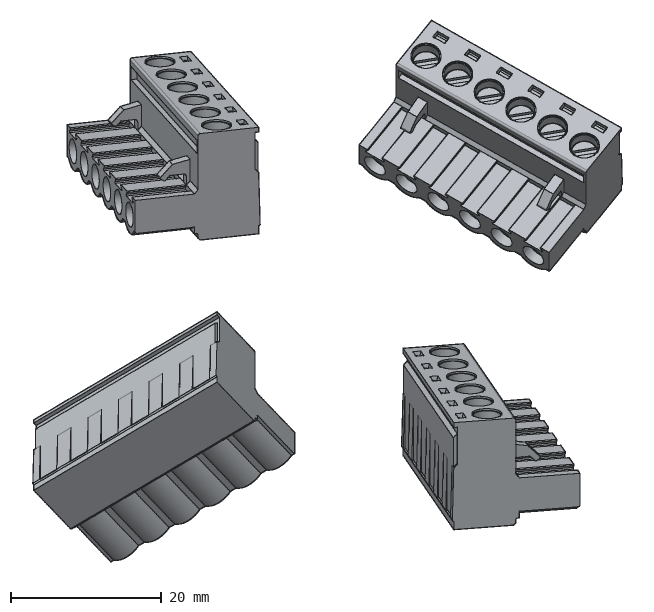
import cadquery as cq
POLES = 6
PITCH = 5.08
LENGTH = POLES * PITCH
DEPTH = 17.4
HEIGHT = 15.1

BACK_BULGE = 0.2
BACK_Y = DEPTH - BACK_BULGE
BULGE_TOP_Z = 8.7
BULGE_BOTTOM_Z = 1.3
HOUSING_FRONT_Y = 8.75
EDGE = 0.3
FOOT_FILLET = 0.25

PLUG_TOP_Z = 6.62
PLUG_ROOT_Y = 8.25
SHOULDER_RISE = 0.58
CONTACT_Z = 3.72
SHELL_RADIUS = 2.74
PLUG_BOTTOM_Z = CONTACT_Z - SHELL_RADIUS
PLUG_WEB_Z = 1.92
PLUG_EDGE = 0.15

HOLE_RADIUS = 1.67
HOLE_END_RADIUS = 0.76
HOLE_DEPTH = 1.5
HOLE_CONE_LENGTH = 0.3

GROOVE_MOUTH = 1.2
GROOVE_NECK = 1.1
GROOVE_MAX = 1.5
GROOVE_FLOOR = 1.42
GROOVE_DEPTH = 0.77
GROOVE_NECK_DEPTH = 0.15
GROOVE_MAX_DEPTH = 0.57

LABEL_INSET = 0.4
LABEL_BOTTOM_Z = 12.15
LABEL_TOP_Z = 14.0
LABEL_DEPTH = 0.8

NOTCH_DEPTH = 0.53
NOTCH_TOP_Z = 14.42
RIB_TOP_Z = 13.4
END_NOTCH_LENGTH = 0.3

BACK_RECESS_WIDTH = 2.87

SCREW_Y = 12.11
RIM_RADIUS = 2.0
RIM_DEPTH = 0.25
BORE_RADIUS = 1.83
SCREW_DEPTH = 1.6
SCREW_CHAMFER = 0.15
SLOT_WIDTH = 0.85
SLOT_DEPTH = 0.5
SLOT_ANGLE = 45

POCKET_WIDTH = 1.85
POCKET_FRONT_Y = 15.14
POCKET_BACK_Y = 16.2
POCKET_RIDGE_Y = 15.86
POCKET_RIDGE_DEPTH = 0.5
POCKET_BACK_DEPTH = 0.6
POCKET_FRONT_DEPTH = 0.68
POCKET_DRAFT = 0.16

LATCH_WIDTH = 1.47
LATCH_END_DISTANCE = 4.3
LATCH_OFFSET = LENGTH / 2 - LATCH_END_DISTANCE
LATCH_ROOT_Z = 10.23
LATCH_KNEE_Y = 6.29
LATCH_KNEE_Z = 9.77
LATCH_TIP_Y = 4.46
LATCH_ARM_Z = 8.24
LATCH_ARM_Y = 5.98
LATCH_DROP = 0.75
LATCH_TIP_FILLET = 0.2
LATCH_INNER_FILLET = 0.45

pole_positions = [(i - (POLES - 1) / 2) * PITCH for i in range(POLES)]


def prism_along_x(points, length, center_x=0.0):
    """Extrude an outline of (y, z) points along X, centred on center_x."""
    start = cq.Workplane("YZ", origin=(center_x - length / 2, 0, 0))
    return start.polyline(points).close().extrude(length)


def make_housing():
    body = prism_along_x(
        [
            (HOUSING_FRONT_Y, 0),
            (BACK_Y, 0),
            (BACK_Y, BULGE_BOTTOM_Z - BACK_BULGE),
            (DEPTH, BULGE_BOTTOM_Z),
            (BACK_Y, BULGE_TOP_Z),
            (BACK_Y, HEIGHT),
            (HOUSING_FRONT_Y, HEIGHT),
            (HOUSING_FRONT_Y, PLUG_TOP_Z + SHOULDER_RISE),
            (PLUG_ROOT_Y, PLUG_TOP_Z),
            (PLUG_ROOT_Y, PLUG_BOTTOM_Z),
            (HOUSING_FRONT_Y, PLUG_BOTTOM_Z),
        ],
        LENGTH,
    )

    def front_edge(z):
        return cq.selectors.NearestToPointSelector((0, HOUSING_FRONT_Y, z))

    body = body.edges(front_edge(HEIGHT)).fillet(EDGE)
    body = body.edges(front_edge(PLUG_BOTTOM_Z)).fillet(FOOT_FILLET)
    return body.edges(front_edge(0)).chamfer(EDGE)


def make_plug():
    """Block with round contact shells hanging below it, chamfered along its lower front edges."""
    block = cq.Workplane("XY").box(
        LENGTH, PLUG_ROOT_Y, PLUG_TOP_Z - PLUG_WEB_Z, centered=(True, False, False)
    )
    plug = block.faces("<Y").edges("<Z").chamfer(PLUG_EDGE).translate((0, 0, PLUG_WEB_Z))
    for x in pole_positions:
        shell = cq.Workplane("XZ", origin=(x, 0, CONTACT_Z)).circle(SHELL_RADIUS).extrude(-PLUG_ROOT_Y)
        shell = shell.faces("<Y").chamfer(PLUG_EDGE)
        plug = plug.union(shell)
    envelope = cq.Workplane("XY").box(LENGTH, DEPTH, HEIGHT, centered=(True, False, False))
    return plug.intersect(envelope)


def make_latch(center_x):
    tip_z = LATCH_KNEE_Z - (LATCH_KNEE_Y - LATCH_TIP_Y)
    tip_end_y = LATCH_ARM_Y - LATCH_DROP
    tip_end_z = LATCH_ARM_Z - LATCH_DROP
    latch = prism_along_x(
        [
            (HOUSING_FRONT_Y, LATCH_ROOT_Z),
            (LATCH_KNEE_Y, LATCH_KNEE_Z),
            (LATCH_TIP_Y, tip_z),
            (tip_end_y, tip_end_z),
            (LATCH_ARM_Y, LATCH_ARM_Z),
            (PLUG_ROOT_Y, LATCH_ARM_Z),
            (PLUG_ROOT_Y, PLUG_TOP_Z),
            (HOUSING_FRONT_Y, PLUG_TOP_Z),
        ],
        LATCH_WIDTH,
        center_x,
    )

    def edge_near(y, z):
        return cq.selectors.NearestToPointSelector((center_x, y, z))

    latch = latch.edges(edge_near(PLUG_ROOT_Y, LATCH_ARM_Z)).fillet(LATCH_INNER_FILLET)
    latch = latch.edges(edge_near(LATCH_TIP_Y, tip_z)).fillet(LATCH_TIP_FILLET)
    return latch.edges(edge_near(tip_end_y, tip_end_z)).fillet(LATCH_TIP_FILLET)


def make_contact_hole(x):
    """Straight bore that narrows over a shallow cone to a flat end."""
    half_section = [
        (0, 0),
        (HOLE_RADIUS, 0),
        (HOLE_RADIUS, HOLE_DEPTH),
        (HOLE_END_RADIUS, HOLE_DEPTH + HOLE_CONE_LENGTH),
        (0, HOLE_DEPTH + HOLE_CONE_LENGTH),
    ]
    bore = cq.Workplane("XY").polyline(half_section).close().revolve(360, (0, 0), (0, 1))
    return bore.translate((x, 0, CONTACT_Z))


def make_groove(x):
    half_outline = [
        (GROOVE_MOUTH, 0),
        (GROOVE_NECK, GROOVE_NECK_DEPTH),
        (GROOVE_MAX, GROOVE_MAX_DEPTH),
        (GROOVE_FLOOR, GROOVE_DEPTH),
    ]
    right = [(x + half, PLUG_TOP_Z - depth) for half, depth in half_outline]
    left = [(x - half, PLUG_TOP_Z - depth) for half, depth in reversed(half_outline)]
    return cq.Workplane("XZ").polyline(right + left).close().extrude(-PLUG_ROOT_Y)


def make_screw_recess(x):
    """Stepped bore down to a chamfered, slotted screw head."""
    top = cq.Workplane("XY", origin=(x, SCREW_Y, HEIGHT))
    rim = top.circle(RIM_RADIUS).extrude(-RIM_DEPTH)
    bore = top.circle(BORE_RADIUS).extrude(-SCREW_DEPTH - SLOT_DEPTH)
    head_plane = top.workplane(offset=-SCREW_DEPTH - SLOT_DEPTH)
    head = head_plane.circle(BORE_RADIUS).extrude(SLOT_DEPTH).faces(">Z").chamfer(SCREW_CHAMFER)
    slot = (
        head_plane.transformed(rotate=(0, 0, SLOT_ANGLE))
        .rect(2 * RIM_RADIUS, SLOT_WIDTH)
        .extrude(SLOT_DEPTH)
    )
    return rim.union(bore.cut(head.cut(slot)))


def make_pocket(x):
    """Shallow pocket with a ridged floor, an upright back wall and three drafted walls."""
    front_wall_foot = POCKET_FRONT_Y + POCKET_DRAFT
    pocket = prism_along_x(
        [
            (POCKET_FRONT_Y, HEIGHT),
            (front_wall_foot, HEIGHT - POCKET_FRONT_DEPTH),
            (POCKET_RIDGE_Y, HEIGHT - POCKET_RIDGE_DEPTH),
            (POCKET_BACK_Y, HEIGHT - POCKET_BACK_DEPTH),
            (POCKET_BACK_Y, HEIGHT),
        ],
        POCKET_WIDTH,
        x,
    )
    half_top = POCKET_WIDTH / 2
    half_floor = half_top - POCKET_DRAFT
    floor_z = HEIGHT - POCKET_FRONT_DEPTH
    end_walls = (
        cq.Workplane("XZ")
        .polyline(
            [
                (x - half_top, HEIGHT),
                (x - half_floor, floor_z),
                (x + half_floor, floor_z),
                (x + half_top, HEIGHT),
            ]
        )
        .close()
        .extrude(-DEPTH)
    )
    return pocket.intersect(end_walls)


def make_back_recess(x):
    """Flat channel through the back bulge behind one pole, ending in a slope at its foot."""
    return prism_along_x(
        [
            (BACK_Y, BULGE_TOP_Z),
            (BACK_Y, BULGE_BOTTOM_Z + BACK_BULGE),
            (DEPTH, BULGE_BOTTOM_Z),
            (DEPTH, BULGE_TOP_Z),
        ],
        BACK_RECESS_WIDTH,
        x,
    )


def make_label_recess():
    recess_height = LABEL_TOP_Z - LABEL_BOTTOM_Z
    recess = cq.Workplane("XY").box(
        LENGTH - 2 * LABEL_INSET, LABEL_DEPTH, recess_height, centered=(True, False, False)
    )
    return recess.translate((0, HOUSING_FRONT_Y, LABEL_BOTTOM_Z))


def make_back_notches():
    """A groove along the back above the rib, reaching lower at both ends."""
    notch_y = BACK_Y - NOTCH_DEPTH
    notches = prism_along_x(
        [
            (BACK_Y, NOTCH_TOP_Z),
            (notch_y, NOTCH_TOP_Z),
            (notch_y, RIB_TOP_Z),
            (BACK_Y, RIB_TOP_Z - NOTCH_DEPTH),
        ],
        LENGTH,
    )
    for side in (-1, 1):
        end_notch = prism_along_x(
            [
                (BACK_Y, NOTCH_TOP_Z),
                (notch_y, NOTCH_TOP_Z),
                (notch_y, BULGE_TOP_Z + NOTCH_DEPTH),
                (BACK_Y, BULGE_TOP_Z),
            ],
            END_NOTCH_LENGTH,
            side * (LENGTH - END_NOTCH_LENGTH) / 2,
        )
        notches = notches.union(end_notch)
    return notches


result = make_housing().union(make_plug())
result = result.cut(make_label_recess()).cut(make_back_notches())
for pole_x in pole_positions:
    result = result.cut(make_contact_hole(pole_x))
    result = result.cut(make_groove(pole_x))
    result = result.cut(make_screw_recess(pole_x))
    result = result.cut(make_pocket(pole_x))
    result = result.cut(make_back_recess(pole_x))
for latch_x in (-LATCH_OFFSET, LATCH_OFFSET):
    result = result.union(make_latch(latch_x))